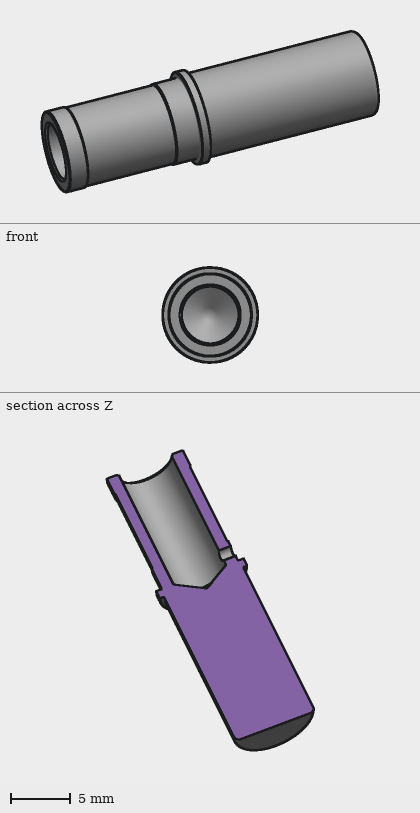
import cadquery as cq
import math

total_length = 27.5
collar_length = 1.6
shoulder_start = 9.55
flange_front = 11.58
flange_rear = 12.38

collar_dia = 6.95
neck_dia = 6.8
flange_dia = 7.98
body_dia = 7.25

body_end_radius = 0.5
front_edge_chamfer = 0.08
flange_root_radius = 0.05
flange_rim_chamfer = 0.05

bore_dia = 4.73
bore_entry_dia = 5.1
bore_depth = flange_front
drill_tip_angle = 118.0
inspection_hole_dia = 1.0
inspection_hole_y = 10.6

front_y = -total_length / 2


def revolve_about_y(profile):
    """Turn a closed (radius, distance from front face) profile about the Y axis."""
    turned = profile.close().revolve(360, (0, 0, 0), (0, 1, 0))
    return turned.translate((0, front_y, 0))


def turned_outside():
    """Solid of revolution: collar, neck, shoulder, flange and round-ended body."""
    collar_r = collar_dia / 2
    neck_r = neck_dia / 2
    flange_r = flange_dia / 2
    body_r = body_dia / 2
    step = collar_r - neck_r

    profile = (
        cq.Workplane("XY")
        .lineTo(collar_r - front_edge_chamfer, 0)
        .lineTo(collar_r, front_edge_chamfer)
        .lineTo(collar_r, collar_length)
        .lineTo(neck_r, collar_length + step)
        .lineTo(neck_r, shoulder_start - step)
        .lineTo(collar_r, shoulder_start)
        .lineTo(collar_r, flange_front - flange_root_radius)
        .radiusArc((collar_r + flange_root_radius, flange_front), flange_root_radius)
        .lineTo(flange_r - flange_rim_chamfer, flange_front)
        .lineTo(flange_r, flange_front + flange_rim_chamfer)
        .lineTo(flange_r, flange_rear - flange_rim_chamfer)
        .lineTo(flange_r - flange_rim_chamfer, flange_rear)
        .lineTo(body_r + flange_root_radius, flange_rear)
        .radiusArc((body_r, flange_rear + flange_root_radius), flange_root_radius)
        .lineTo(body_r, total_length - body_end_radius)
        .radiusArc((body_r - body_end_radius, total_length), -body_end_radius)
        .lineTo(0, total_length)
    )
    return revolve_about_y(profile)


def wire_bore():
    """Blind bore with a chamfered entry and a conical drill tip."""
    bore_r = bore_dia / 2
    entry_r = bore_entry_dia / 2
    tip_depth = bore_r / math.tan(math.radians(drill_tip_angle / 2))
    profile = (
        cq.Workplane("XY")
        .lineTo(entry_r, 0)
        .lineTo(bore_r, entry_r - bore_r)
        .lineTo(bore_r, bore_depth)
        .lineTo(0, bore_depth + tip_depth)
    )
    return revolve_about_y(profile)


def inspection_hole():
    """Radial hole through the -X wall only, into the bore."""
    return (
        cq.Workplane("YZ")
        .center(front_y + inspection_hole_y, 0)
        .circle(inspection_hole_dia / 2)
        .extrude(-flange_dia / 2)
    )


result = turned_outside().cut(wire_bore()).cut(inspection_hole())